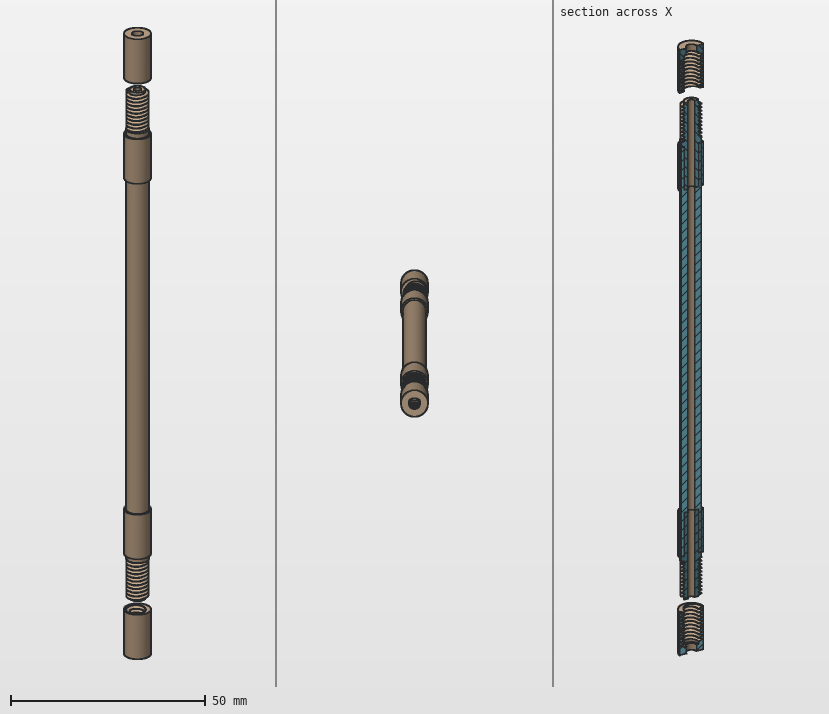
import cadquery as cq

overall_length = 177.11
section_length = 12.7
cap_gap = 3.2

sleeve_diameter = 6.99
tube_diameter = 6.0
through_bore_diameter = 1.9
cap_hole_diameter = 2.9

neck_length = 1.4
cap_roof = 2.0

thread_pitch = 25.4 / 24
thread_root_diameter = 4.1
thread_crest_width = 0.06
thread_base_width = 0.98
ridge_embed = 0.03
stud_crest_diameter = 5.9
cap_crest_diameter = 6.15

shank_diameter = thread_root_diameter

cap_top = overall_length / 2
cap_bottom = cap_top - section_length
cap_thread_top = cap_top - cap_roof
stud_tip = cap_bottom - cap_gap
collar_top = stud_tip - section_length
collar_bottom = collar_top - section_length
neck_top = collar_top + neck_length

turn_axis_start = (0, 0, 0)
turn_axis_end = (1, 1, 0)


def cylinder(diameter, bottom, top):
    return cq.Workplane("XY").workplane(offset=bottom).circle(diameter / 2).extrude(top - bottom)


def thread_ridge(crest_diameter, bottom, top):
    """Right-hand helical ridge whose base is sunk a little below the root diameter."""
    base_radius = thread_root_diameter / 2 - ridge_embed
    crest_radius = crest_diameter / 2
    half_base = thread_base_width / 2
    half_crest = thread_crest_width / 2
    helix = cq.Wire.makeHelix(thread_pitch, top - bottom, base_radius)
    profile = cq.Workplane("XZ").polyline([
        (base_radius, -half_base),
        (crest_radius, -half_crest),
        (crest_radius, half_crest),
        (base_radius, half_base),
    ]).close()
    ridge = profile.sweep(cq.Workplane(obj=helix), isFrenet=True)
    return ridge.translate((0, 0, bottom))


def make_tube():
    """Tube with a through bore, widened at both ends to hold the stud shanks."""
    tube = cylinder(tube_diameter, -collar_top, collar_top)
    tube = tube.cut(cylinder(through_bore_diameter, -collar_top, collar_top))
    for bottom, top in ((collar_bottom, collar_top), (-collar_top, -collar_bottom)):
        tube = tube.cut(cylinder(shank_diameter, bottom, top))
    return tube


def make_stud():
    """Bored stud: shank inside the tube, neck against the tube end, threaded tip."""
    shank = cylinder(shank_diameter, collar_bottom, collar_top)
    neck = cylinder(tube_diameter, collar_top, neck_top)
    core = cylinder(thread_root_diameter, neck_top, stud_tip)
    half_base = thread_base_width / 2
    ridge = thread_ridge(stud_crest_diameter, neck_top - half_base, stud_tip - half_base)
    stud = shank.union(neck).union(core).union(ridge)
    return stud.cut(cylinder(through_bore_diameter, collar_bottom, stud_tip))


def make_collar():
    """Ring around the end of the tube."""
    collar = cylinder(sleeve_diameter, collar_bottom, collar_top)
    return collar.cut(cylinder(tube_diameter, collar_bottom, collar_top))


def make_cap():
    """Cap threaded from its open end, with a smaller hole through its roof."""
    cap = cylinder(sleeve_diameter, cap_bottom, cap_top)
    cap = cap.cut(cylinder(cap_hole_diameter, cap_bottom, cap_top))
    cap = cap.cut(cylinder(thread_root_diameter, cap_bottom, cap_thread_top))
    groove_bottom = cap_bottom - thread_pitch / 2
    groove_top = cap_thread_top - thread_base_width / 2
    return cap.cut(thread_ridge(cap_crest_diameter, groove_bottom, groove_top))


bodies = [make_tube().val()]
for make_body in (make_stud, make_collar, make_cap):
    upper_body = make_body()
    lower_body = upper_body.rotate(turn_axis_start, turn_axis_end, 180)
    bodies.append(upper_body.val())
    bodies.append(lower_body.val())

result = cq.Compound.makeCompound(bodies)